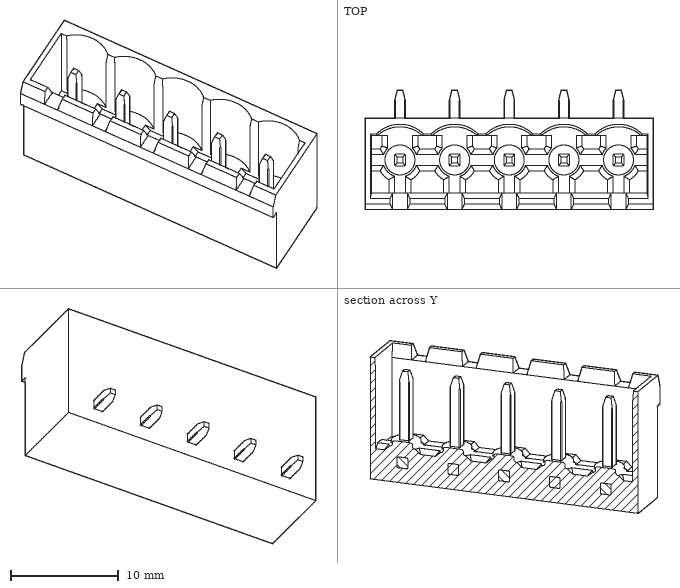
import cadquery as cq

width = 26.8
height = 12.0
back_y = 3.89
lip_front_y = -4.6
lip_overhang = 0.65
lip_bottom_z = height - 3.0
lip_chamfer = 0.5
lead_in_depth = 1.25
lead_in_z = height - lead_in_depth

pin_count = 5
pin_pitch = 5.079
pin_xs = [(i - (pin_count - 1) / 2) * pin_pitch for i in range(pin_count)]

pocket_half_width = 12.8
pocket_back_y = 2.28
pocket_front_y = -3.08
side_flare = 0.1
back_flare = 0.13
front_flare = 0.48

scallop_radius = 3.08
scallop_flare = 0.25

slot_bottom_width = 1.37
slot_top_width = 1.82

floor_z = 3.0
rib_height = 0.5
rib_spread = 0.5
rib_top_z = floor_z + rib_height
cross_rib_width = 1.02
front_rib_width = 1.02
back_rib_width = 2.3
boss_radius = 1.4
boss_fillet = 0.2
boss_height = 0.6

pin_width = 1.02
contact_depth = 1.1
tail_depth = 1.02
pin_edge_chamfer = 0.08
pin_tip_size = 0.54
pin_point_length = 1.0
pin_top_z = 10.77
tail_z = 2.0
tail_end_y = back_y + 2.6


def box(x_min, x_max, y_min, y_max, z_min, z_max):
    """Box between the given limits."""
    size = (x_max - x_min, y_max - y_min, z_max - z_min)
    return cq.Workplane("XY").box(*size, centered=False).translate((x_min, y_min, z_min))


def cone(x, y, z, bottom_radius, top_radius, cone_height):
    """Upright truncated cone standing on the point (x, y, z)."""
    return cq.Workplane(cq.Solid.makeCone(bottom_radius, top_radius, cone_height, pnt=cq.Vector(x, y, z)))


def make_shell():
    """Outer block with the overhanging, chamfered lip along its front."""
    body_front_y = lip_front_y + lip_overhang
    outline = [
        (back_y, 0),
        (back_y, height),
        (lip_front_y + lip_chamfer, height),
        (lip_front_y, lead_in_z),
        (lip_front_y, lip_bottom_z),
        (body_front_y, lip_bottom_z),
        (body_front_y, 0),
    ]
    return cq.Workplane("YZ").polyline(outline).close().extrude(width / 2, both=True)


def make_pocket():
    """Rectangular pocket down to the low floor, with the flared lead-in at its opening."""
    straight = box(-pocket_half_width, pocket_half_width, pocket_front_y, pocket_back_y, floor_z, lead_in_z)
    bottom_center_y = (pocket_front_y + pocket_back_y) / 2
    bottom_depth = pocket_back_y - pocket_front_y
    flare = (
        cq.Workplane("XY", origin=(0, bottom_center_y, lead_in_z))
        .rect(2 * pocket_half_width, bottom_depth)
        .workplane(offset=lead_in_depth)
        .center(0, (back_flare - front_flare) / 2)
        .rect(2 * (pocket_half_width + side_flare), bottom_depth + back_flare + front_flare)
        .loft(ruled=True)
    )
    return straight.union(flare)


def make_scallop(x):
    """Round recess in the back wall, standing on rib height and slanting back at the opening."""
    straight_height = lead_in_z - rib_top_z
    straight = cq.Workplane("XY", origin=(x, 0, rib_top_z)).circle(scallop_radius).extrude(straight_height)
    flare = (
        cq.Workplane("XY", origin=(x, 0, lead_in_z))
        .circle(scallop_radius)
        .workplane(offset=lead_in_depth)
        .center(0, scallop_flare)
        .circle(scallop_radius)
        .loft(ruled=True)
    )
    back_wall = box(-width / 2, width / 2, pocket_back_y, back_y, 0, height)
    return straight.union(flare).intersect(back_wall)


def make_slot(x):
    """Slot through the front wall, wider at the top."""
    outline = [
        (x - slot_bottom_width / 2, lead_in_z),
        (x + slot_bottom_width / 2, lead_in_z),
        (x + slot_top_width / 2, height),
        (x - slot_top_width / 2, height),
    ]
    slot_length = pocket_front_y - lip_front_y
    return cq.Workplane("XZ", origin=(0, pocket_front_y, 0)).polyline(outline).close().extrude(slot_length)


def rib_profile(plane, origin, top_width):
    """Closed trapezoid of a rib, standing on the pocket floor."""
    half_top = top_width / 2
    half_foot = half_top + rib_spread
    outline = [(-half_foot, 0), (half_foot, 0), (half_top, rib_height), (-half_top, rib_height)]
    return cq.Workplane(plane, origin=origin).polyline(outline).close()


def make_cross_rib():
    """Rib along X that joins all the bosses and both side walls."""
    return rib_profile("YZ", (0, 0, floor_z), cross_rib_width).extrude(pocket_half_width, both=True)


def make_front_rib(x):
    """Rib from a boss to the front wall."""
    return rib_profile("XZ", (x, 0, floor_z), front_rib_width).extrude(-pocket_front_y)


def make_back_rib(x):
    """Rib from a boss to the back wall, level with the scallop floor."""
    return rib_profile("XZ", (x, 0, floor_z), back_rib_width).extrude(-pocket_back_y)


def make_boss(x):
    """Round boss around a pin: a sloping foot, then a neck with a fillet at its base and at its top edge."""
    foot_radius = boss_radius + boss_fillet
    foot = cone(x, 0, floor_z, foot_radius + rib_spread, foot_radius, rib_height)
    base_disc = cq.Workplane("XY", origin=(x, 0, rib_top_z)).circle(foot_radius).extrude(boss_fillet)
    hollow = cq.Workplane(
        cq.Solid.makeTorus(foot_radius, boss_fillet, cq.Vector(x, 0, rib_top_z + boss_fillet))
    )
    neck = (
        cq.Workplane("XY", origin=(x, 0, rib_top_z))
        .circle(boss_radius)
        .extrude(boss_height)
        .faces(">Z")
        .edges()
        .fillet(boss_fillet)
    )
    return foot.union(base_disc.cut(hollow)).union(neck)


def make_pointed_bar(plane, bar_width, bar_depth, length):
    """Bar with chamfered long edges, running from the plane's origin to a blunt pyramid point."""
    shaft_length = length - pin_point_length
    base = cq.Workplane(plane)
    shaft = base.rect(bar_width, bar_depth).extrude(shaft_length)
    point = (
        base.workplane(offset=shaft_length)
        .rect(bar_width, bar_depth)
        .workplane(offset=pin_point_length)
        .rect(pin_tip_size, pin_tip_size)
        .loft(ruled=True)
    )
    long_edges = cq.selectors.ParallelDirSelector(plane.zDir)
    envelope = base.rect(bar_width, bar_depth).extrude(length).edges(long_edges).chamfer(pin_edge_chamfer)
    return shaft.union(point).intersect(envelope)


def make_pin(x):
    """Angled pin: contact pointing up inside the pocket, tail pointing out of the back wall."""
    elbow_center = cq.Vector(x, 0, tail_z)
    contact_plane = cq.Plane(elbow_center, xDir=(1, 0, 0), normal=(0, 0, 1))
    tail_plane = cq.Plane(elbow_center, xDir=(1, 0, 0), normal=(0, 1, 0))
    contact = make_pointed_bar(contact_plane, pin_width, contact_depth, pin_top_z - tail_z)
    tail = make_pointed_bar(tail_plane, pin_width, tail_depth, tail_end_y)
    elbow = cq.Workplane("XY").box(pin_width, contact_depth, tail_depth).translate(elbow_center)
    return contact.union(tail).union(elbow)


def make_housing(pins):
    """Shrouded housing with one fitting hole per pin."""
    housing = make_shell().cut(make_pocket())
    for x in pin_xs:
        housing = housing.cut(make_slot(x)).cut(make_scallop(x))
    housing = housing.union(make_cross_rib())
    for x in pin_xs:
        housing = housing.union(make_front_rib(x)).union(make_back_rib(x)).union(make_boss(x))
    for pin in pins:
        housing = housing.cut(pin)
    return housing


pins = [make_pin(x) for x in pin_xs]
housing = make_housing(pins)

result = cq.Compound.makeCompound([housing.val(), *[pin.val() for pin in pins]])